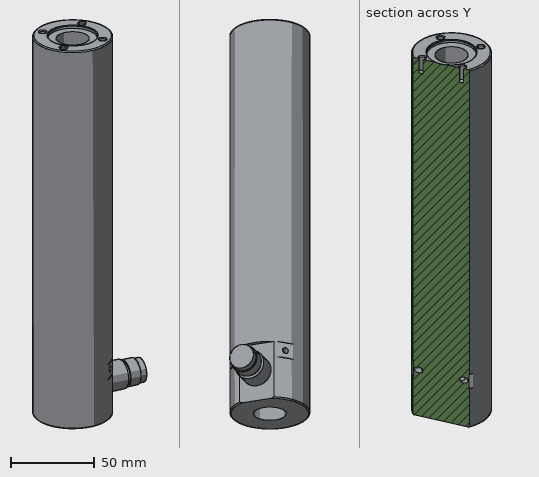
import cadquery as cq
import math

body_length = 248.0
body_radius = 24.0
bore_radius = 10.0
rim_chamfer = 0.7
recess_radius = 15.0
recess_depth = 2.0
recess_chamfer = 0.5

end_hole_count = 4
end_hole_circle_radius = 18.8
end_hole_diameter = 4.0
end_hole_mouth_diameter = 5.2
end_hole_depth = 10.0
drill_point_angle = 118.0
mouth_angle = 90.0

flat_offset = 21.3
flat_height = 37.0

spot_angles = (45.0, 135.0)
spot_size = 10.0
spot_top = flat_height
spot_offset = math.sqrt(body_radius**2 - (spot_size / 2) ** 2)
spot_hole_diameter = 3.7
spot_hole_depth = 5.0

connector_height = 18.8
connector_tip = 46.5
barrel_radius = 9.2
barrel_end = 33.2
neck_radius = 7.5
collar_start = 35.2
collar_end = 42.2
collar_radius = 8.5
nose_radius = 7.7


def drilled_hole(diameter, depth):
    """Hole running down from the origin, ending in a drill point."""
    radius = diameter / 2
    point_depth = radius / math.tan(math.radians(drill_point_angle / 2))
    return (
        cq.Workplane("XZ")
        .polyline([(0, 0), (radius, 0), (radius, -depth), (0, -depth - point_depth)])
        .close()
        .revolve(360, (0, 0), (0, 1))
    )


def countersunk_hole(diameter, mouth_diameter, depth):
    """Drilled hole with a conical mouth at the origin."""
    mouth_radius = mouth_diameter / 2
    cone_depth = mouth_radius / math.tan(math.radians(mouth_angle / 2))
    mouth = (
        cq.Workplane("XZ")
        .polyline([(0, 0), (mouth_radius, 0), (0, -cone_depth)])
        .close()
        .revolve(360, (0, 0), (0, 1))
    )
    return drilled_hole(diameter, depth).union(mouth)


def tube_blank():
    """Outer cylinder with chamfered rims."""
    return cq.Workplane("XY").circle(body_radius).extrude(body_length).edges().chamfer(rim_chamfer)


def bore():
    """Through bore with a shallow chamfered recess at the top end."""
    through = cq.Workplane("XY").circle(bore_radius).extrude(body_length)
    recess = (
        cq.Workplane("XY", origin=(0, 0, body_length - recess_depth))
        .circle(recess_radius)
        .extrude(recess_depth)
    )
    lead_in = (
        cq.Workplane("XY", origin=(0, 0, body_length))
        .circle(recess_radius + recess_chamfer)
        .extrude(-recess_chamfer, taper=45)
    )
    return through.union(recess).union(lead_in)


def connector_flat():
    """Material removed beyond the flat that carries the connector."""
    return cq.Workplane("XY", origin=(0, flat_offset, 0)).box(
        2 * body_radius, body_radius, flat_height, centered=(True, False, False)
    )


def spot_face(angle):
    """Square spot face with its radial hole, facing the given direction about Z."""
    center_height = spot_top - spot_size / 2
    face = cq.Workplane("XY", origin=(spot_offset, 0, center_height)).box(
        body_radius, spot_size, spot_size, centered=(False, True, True)
    )
    hole = (
        drilled_hole(spot_hole_diameter, spot_hole_depth)
        .rotate((0, 0, 0), (0, 1, 0), 90)
        .translate((spot_offset, 0, center_height))
    )
    return face.union(hole).rotate((0, 0, 0), (0, 0, 1), angle)


def connector():
    """Stepped connector with a barrel, a neck, a collar and a nose."""
    root = (bore_radius + flat_offset) / 2
    profile = [
        (0, root),
        (barrel_radius, root),
        (barrel_radius, barrel_end),
        (neck_radius, barrel_end),
        (neck_radius, collar_start),
        (collar_radius, collar_start),
        (collar_radius, collar_end),
        (nose_radius, collar_end),
        (nose_radius, connector_tip),
        (0, connector_tip),
    ]
    return (
        cq.Workplane("XY")
        .polyline(profile)
        .close()
        .revolve(360, (0, 0), (0, 1))
        .translate((0, 0, connector_height))
    )


result = tube_blank().cut(connector_flat()).cut(bore())

for index in range(end_hole_count):
    hole_angle = 360 / end_hole_count * (index + 0.5)
    end_hole = (
        countersunk_hole(end_hole_diameter, end_hole_mouth_diameter, end_hole_depth)
        .translate((end_hole_circle_radius, 0, body_length))
        .rotate((0, 0, 0), (0, 0, 1), hole_angle)
    )
    result = result.cut(end_hole)

for spot_angle in spot_angles:
    result = result.cut(spot_face(spot_angle))

result = result.union(connector())